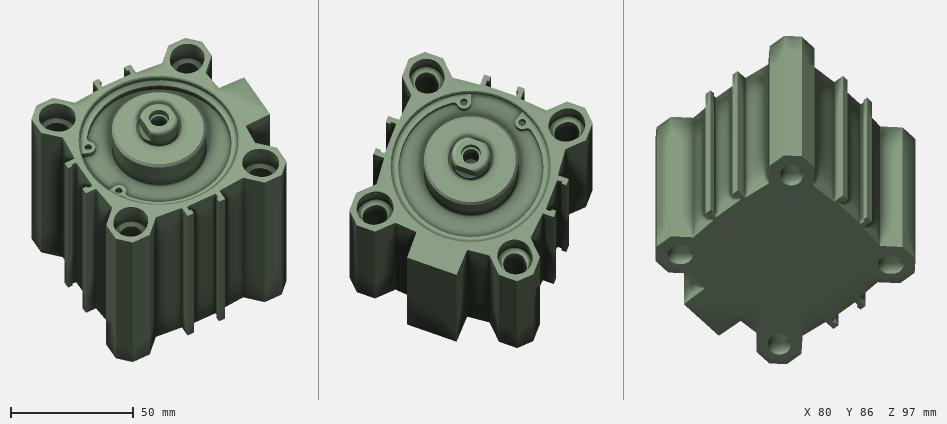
import cadquery as cq
import math

housing_height = 81.8
collar_top = 89.9
rod_top = 97.0
head_face = 76.7
ring_thickness = 2.6
ring_top = head_face + ring_thickness
pocket_floor = 58.2

housing_half = 80.0 / 2
lug_flat_start = 27.0
lug_flat_end = 34.9
wall_half = 34.5
wall_taper = 5.0
port_length = 86.0 - housing_half
port_half_root = 11.1
port_half_tip = 10.8

rail_outer = 8.8
rail_inner = 6.8
lip_inner = 5.9
rail_reach = 39.3
lip_start = 37.2
slot_floor = 35.0
slot_corner = 0.5

bolt_offset = 30.5
bolt_slot_width = 9.2
bolt_seat_width = 14.0
bolt_slot_travel = 1.2
bolt_seat_depth = 10.0

bore_diameter = 64.7
mouth_chamfer = 0.5
groove_diameter = 68.2

collar_diameter = 38.5
collar_chamfer = 1.0
collar_fillet = 0.7
rod_diameter = 16.0
wiper_diameter = 18.0
wiper_depth = 1.0
wiper_chamfer = 0.4
lip_diameter = 16.6
lip_depth = 1.9

ring_inner_diameter = 59.2
eye_x = 12.7
eye_y = -26.0
eye_radius = 2.9
eye_hole_diameter = 3.0
eye_neck_fillet = 1.9

rod_fillet = 1.65
flat_half = 6.5
flat_bottom = 91.4
socket_diameter = 8.2
socket_depth = 3.0
drill_diameter = 6.7
drill_depth = 15.5
drill_tip_angle = 160.0


def cylinder(diameter, bottom, top):
    """Upright cylinder on the main axis."""
    return cq.Workplane("XY").workplane(offset=bottom).circle(diameter / 2).extrude(top - bottom)


def turned(section):
    """Revolve a section, drawn as radius and height, about the main axis."""
    return section.revolve(360, (0, 0, 0), (0, 1, 0))


def quarter_turns(point, turns):
    """Turn a point about the axis by a number of right angles."""
    x, y = point
    for _ in range(turns):
        x, y = -y, x
    return x, y


def housing_profile():
    """Four tapered walls that join the corner lugs, as one quarter repeated about the axis."""
    slope = math.tan(math.radians(wall_taper))
    wall_at_flat_start = wall_half - slope * (lug_flat_start - rail_outer)
    run = (housing_half - wall_at_flat_start) / (1 + slope)
    lug_root = (housing_half - run, lug_flat_start - run)
    half_quarter = [
        (wall_half, rail_outer),
        lug_root,
        (housing_half, lug_flat_start),
        (housing_half, lug_flat_end),
    ]
    quarter = half_quarter + [(y, x) for x, y in reversed(half_quarter)]
    return [quarter_turns(point, turns) for turns in range(4) for point in quarter]


def rail_pair():
    """Two hooked rails and the slot floor between them, on the -Y wall."""
    root = bore_diameter / 2 + 1
    floor_end = rail_inner - slot_corner
    return (
        cq.Workplane("XY")
        .moveTo(rail_outer, -root)
        .lineTo(rail_outer, -rail_reach)
        .lineTo(lip_inner, -rail_reach)
        .lineTo(lip_inner, -lip_start)
        .lineTo(rail_inner, -lip_start)
        .lineTo(rail_inner, -slot_floor - slot_corner)
        .radiusArc((floor_end, -slot_floor), -slot_corner)
        .lineTo(-floor_end, -slot_floor)
        .radiusArc((-rail_inner, -slot_floor - slot_corner), -slot_corner)
        .lineTo(-rail_inner, -lip_start)
        .lineTo(-lip_inner, -lip_start)
        .lineTo(-lip_inner, -rail_reach)
        .lineTo(-rail_outer, -rail_reach)
        .lineTo(-rail_outer, -root)
        .close()
        .extrude(housing_height)
    )


def port_block():
    """Slightly drafted block on the +Y wall."""
    root = wall_half - 1
    outline = [
        (-port_half_root, root),
        (port_half_root, root),
        (port_half_tip, port_length),
        (-port_half_tip, port_length),
    ]
    return cq.Workplane("XY").polyline(outline).close().extrude(housing_height)


def bolt_slot(x_side, y_side):
    """Stepped through slot in one lug, elongated along the diagonal of the housing."""
    angle = math.degrees(math.atan2(y_side, x_side))
    centre = cq.Workplane("XY").center(x_side * bolt_offset, y_side * bolt_offset)
    through = centre.slot2D(bolt_slot_width + bolt_slot_travel, bolt_slot_width, angle).extrude(housing_height)
    seat = (
        centre.workplane(offset=housing_height - bolt_seat_depth)
        .slot2D(bolt_seat_width + bolt_slot_travel, bolt_seat_width, angle)
        .extrude(bolt_seat_depth)
    )
    return through.union(seat)


def bore_cavity():
    """Blind bore with a retaining ring groove and a chamfered mouth."""
    bore_radius = bore_diameter / 2
    groove_radius = groove_diameter / 2
    section = cq.Workplane("XZ").polyline([
        (0, pocket_floor),
        (bore_radius, pocket_floor),
        (bore_radius, head_face),
        (groove_radius, head_face),
        (groove_radius, ring_top),
        (bore_radius, ring_top),
        (bore_radius, housing_height - mouth_chamfer),
        (bore_radius + mouth_chamfer, housing_height),
        (0, housing_height),
    ]).close()
    return turned(section)


def make_housing():
    """Extruded body with rails on three walls, a port block, bolt slots and the bore."""
    body = cq.Workplane("XY").polyline(housing_profile()).close().extrude(housing_height)
    for angle in (-90, 0, 90):
        body = body.union(rail_pair().rotate((0, 0, 0), (0, 0, 1), angle))
    body = body.union(port_block())
    for x_side in (-1, 1):
        for y_side in (-1, 1):
            body = body.cut(bolt_slot(x_side, y_side))
    return body.cut(bore_cavity())


def make_head_cover():
    """Flange and collar turned as one piece, with a wiper recess around the rod."""
    rod_radius = rod_diameter / 2
    wiper_radius = wiper_diameter / 2
    lip_radius = lip_diameter / 2
    collar_radius = collar_diameter / 2
    section = (
        cq.Workplane("XZ")
        .moveTo(rod_radius, pocket_floor)
        .lineTo(bore_diameter / 2, pocket_floor)
        .lineTo(bore_diameter / 2, head_face)
        .lineTo(collar_radius + collar_fillet, head_face)
        .radiusArc((collar_radius, head_face + collar_fillet), collar_fillet)
        .lineTo(collar_radius, collar_top - collar_chamfer)
        .lineTo(collar_radius - collar_chamfer, collar_top)
        .lineTo(wiper_radius + wiper_chamfer, collar_top)
        .lineTo(wiper_radius, collar_top - wiper_chamfer)
        .lineTo(wiper_radius, collar_top - wiper_depth)
        .lineTo(lip_radius, collar_top - wiper_depth)
        .lineTo(lip_radius, collar_top - lip_depth)
        .lineTo(rod_radius, collar_top - lip_depth)
        .close()
    )
    return turned(section)


def make_retaining_ring():
    """Open ring with a holed eye at each side of the gap."""
    eye_distance = math.hypot(eye_x, eye_y)
    gap_half_angle = math.atan2(eye_x, -eye_y) - math.asin(eye_radius / eye_distance)
    neck_radius = ring_inner_diameter / 2
    neck_cosine = (eye_distance**2 + neck_radius**2 - eye_radius**2) / (2 * eye_distance * neck_radius)
    neck_angle = math.atan2(eye_x, -eye_y) + math.acos(neck_cosine)
    middle = head_face + ring_thickness / 2
    plane = cq.Workplane("XY").workplane(offset=head_face)
    ring = plane.circle(groove_diameter / 2).circle(ring_inner_diameter / 2).extrude(ring_thickness)
    gap_x = groove_diameter * math.tan(gap_half_angle)
    gap = [(0, 0), (gap_x, -groove_diameter), (-gap_x, -groove_diameter)]
    ring = ring.cut(plane.polyline(gap).close().extrude(ring_thickness))
    eyes = [(-eye_x, eye_y), (eye_x, eye_y)]
    ring = ring.union(plane.pushPoints(eyes).circle(eye_radius).extrude(ring_thickness))
    for x_side in (-1, 1):
        corner = (x_side * neck_radius * math.sin(neck_angle), -neck_radius * math.cos(neck_angle), middle)
        neck = cq.selectors.NearestToPointSelector(corner)
        ring = ring.edges("|Z").edges(neck).fillet(eye_neck_fillet)
    return ring.cut(plane.pushPoints(eyes).circle(eye_hole_diameter / 2).extrude(ring_thickness))


def make_rod():
    """Rod with a rounded end, two wrench flats and a stepped blind hole."""
    rod = cylinder(rod_diameter, pocket_floor, rod_top).faces(">Z").edges().fillet(rod_fillet)
    reach = rod_diameter / 2
    flat = [
        (flat_half, rod_top),
        (flat_half, flat_bottom),
        (reach, flat_bottom - (reach - flat_half)),
        (reach, rod_top),
    ]
    for side in (-1, 1):
        outline = [(side * y, z) for y, z in flat]
        rod = rod.cut(cq.Workplane("YZ").polyline(outline).close().extrude(reach, both=True))
    rod = rod.cut(cylinder(socket_diameter, rod_top - socket_depth, rod_top))
    drill_bottom = rod_top - drill_depth
    drill_radius = drill_diameter / 2
    tip = drill_bottom - drill_radius / math.tan(math.radians(drill_tip_angle / 2))
    drill_section = cq.Workplane("XZ").polyline([
        (0, rod_top),
        (drill_radius, rod_top),
        (drill_radius, drill_bottom),
        (0, tip),
    ]).close()
    return rod.cut(turned(drill_section))


housing = make_housing()
head_cover = make_head_cover()
retaining_ring = make_retaining_ring()
rod = make_rod()
result = cq.Compound.makeCompound([housing.val(), head_cover.val(), retaining_ring.val(), rod.val()])